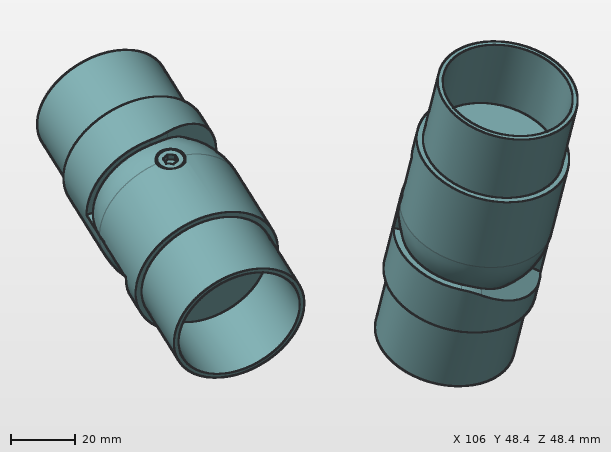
import cadquery as cq
import math

length = 106.0
body_radius = 24.2
body_length = 56.0
spigot_radius = 22.2
bore_radius = 20.6
bore_depth = 25.0

upper_edge = 10.1
lower_edge = 10.7
bend_y = 0.7
slant_angle = 22.5
bend_radius = 17.0

recess_radius = 4.7
head_radius = 4.2
head_top = 23.7
recess_floor = 21.2
hex_corners = 4.7
hex_depth = 2.1

half_body = body_length / 2
reach = 2 * body_radius


def cylinder_x(radius, start, end):
    return cq.Workplane("YZ").workplane(offset=start).circle(radius).extrude(end - start)


def ball_relief(socket_edge):
    """Clearance around the ball in the upper half, left of the pivot."""
    slope = math.tan(math.radians(slant_angle))
    tangent = bend_radius * math.tan(math.radians(slant_angle / 2))
    slant_end = (-socket_edge - slope * (reach - bend_y), reach)
    bend_end = (
        -socket_edge - tangent * math.sin(math.radians(slant_angle)),
        bend_y + tangent * math.cos(math.radians(slant_angle)),
    )
    bend_start = (-socket_edge, bend_y - tangent)
    relief = (
        cq.Workplane("XY")
        .moveTo(0, -reach)
        .lineTo(-socket_edge, -reach)
        .lineTo(*bend_start)
        .tangentArcPoint(bend_end, relative=False)
        .lineTo(*slant_end)
        .lineTo(0, reach)
        .close()
        .extrude(reach)
    )
    return relief.cut(cq.Workplane("XY").sphere(body_radius))


def opposite(shape):
    """Copy of a shape inverted through the pivot centre."""
    return shape.rotate((0, 0, 0), (0, 0, 1), 180).mirror("XY")


def screw_recess():
    """Ring-shaped gap around the screw head, with the hexagon socket in the head."""
    recess = cq.Workplane("XY").workplane(offset=recess_floor).circle(recess_radius).extrude(reach)
    head = (
        cq.Workplane("XY")
        .workplane(offset=recess_floor)
        .circle(head_radius)
        .extrude(head_top - recess_floor)
    )
    hexagon = (
        cq.Workplane("XY")
        .workplane(offset=head_top - hex_depth)
        .polygon(6, hex_corners)
        .extrude(hex_depth)
    )
    return recess.cut(head).union(hexagon)


result = cylinder_x(body_radius, -half_body, half_body)
result = result.union(cylinder_x(spigot_radius, -length / 2, length / 2))

result = result.cut(cylinder_x(bore_radius, -length / 2, -length / 2 + bore_depth))
result = result.cut(cylinder_x(bore_radius, length / 2 - bore_depth, length / 2))

result = result.cut(ball_relief(upper_edge))
result = result.cut(opposite(ball_relief(lower_edge)))
result = result.cut(screw_recess())